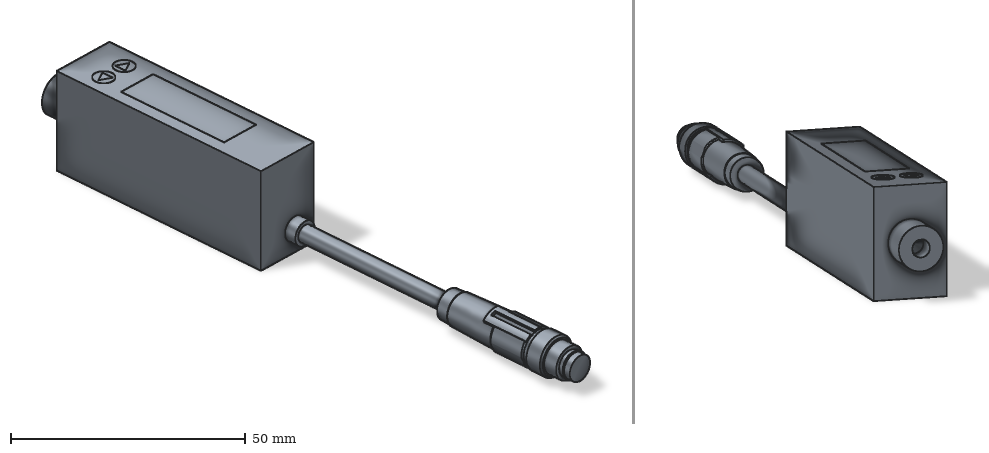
import cadquery as cq
import math


block_length = 60.0
block_width = 16.5
block_height = 25.0
block_top = block_height / 2
nose_length = 7.4
nose_diameter = 10.0
port_diameter = 4.0
port_depth = 4.5
port_tip_angle = 118.0

display_length = 30.2
display_width = 10.0
display_setback = 15.9
button_diameter = 5.0
button_setback = 9.0
button_spacing = 6.4
arrow_width = 3.0
arrow_apex = 1.7
arrow_base = 1.2
mark_depth = 0.08

total_length = 151.2
cable_y = 2.3
cable_z = -6.5
collar_length = 3.0
collar_diameter = 6.0
cable_diameter = 4.2

boot_length = 3.2
barrel_length = 13.2
grip_length = 9.8
neck_length = 1.2
ring_length = 4.4
sleeve_length = 3.5
plug_length = 3.2
connector_length = (
    boot_length + barrel_length + grip_length + neck_length + ring_length + sleeve_length + plug_length
)

boot_start_radius = 3.8
boot_end_radius = 4.0
barrel_start_radius = 4.1
barrel_end_radius = 4.5
grip_radius = 4.8
neck_radius = 4.5
ring_radius = 5.0
sleeve_radius = 4.1
plug_radius = 3.2
bead_radius = 3.5

grip_chamfer = 0.5
ring_chamfer = 0.5
bead_setback = 1.0
bead_length = 0.5
rib_radius = ring_radius
rib_width = 4.8
rib_overhang = 2.7
slot_width = 1.4
slot_depth = 0.8
slot_setback = 0.9
flat_distance = 4.7
connector_roll = 20.0

block_start = nose_length
block_end = block_start + block_length
connector_start = total_length - connector_length
grip_start = connector_start + boot_length + barrel_length
grip_end = grip_start + grip_length


def x_cylinder(start, length, diameter, y=0.0, z=0.0):
    """Cylinder along X, centred on the given Y and Z."""
    return cq.Workplane("YZ", origin=(start, y, z)).circle(diameter / 2).extrude(length)


def make_port():
    """Blind hole in the nose with a drill-point bottom."""
    radius = port_diameter / 2
    tip_length = radius / math.tan(math.radians(port_tip_angle / 2))
    profile = [(0, 0), (0, radius), (port_depth, radius), (port_depth + tip_length, 0)]
    return cq.Workplane("XY").polyline(profile).close().revolve(360, (0, 0, 0), (1, 0, 0))


def make_button_mark(direction):
    """Sunk button disc with an arrow standing in it; direction is +1 for up and -1 for down."""
    center = (block_start + button_setback, direction * button_spacing / 2, block_top)
    plane = cq.Workplane("XY", origin=center)
    disc = plane.circle(button_diameter / 2).extrude(-mark_depth)
    base_y = -direction * arrow_base
    corners = [(-arrow_width / 2, base_y), (arrow_width / 2, base_y), (0, direction * arrow_apex)]
    arrow = plane.polyline(corners).close().extrude(-mark_depth)
    return disc.cut(arrow)


def make_display_recess():
    center_x = block_start + display_setback + display_length / 2
    plane = cq.Workplane("XY", origin=(center_x, 0, block_top))
    return plane.rect(display_length, display_width).extrude(-mark_depth)


def make_sensor():
    """Housing block with nose, cable collar and cable."""
    block = cq.Workplane("XY").box(block_length, block_width, block_height)
    body = block.translate((block_start + block_length / 2, 0, 0))
    body = body.union(x_cylinder(0, nose_length, nose_diameter))
    body = body.union(x_cylinder(block_end, collar_length, collar_diameter, cable_y, cable_z))
    cable_length = connector_start - block_end
    body = body.union(x_cylinder(block_end, cable_length, cable_diameter, cable_y, cable_z))
    body = body.cut(make_port()).cut(make_display_recess())
    for direction in (1, -1):
        body = body.cut(make_button_mark(direction))
    return body


def make_connector_core():
    """Turned shape of the connector, on the X axis."""
    boot_end = connector_start + boot_length
    ring_start = grip_end + neck_length
    ring_end = ring_start + ring_length
    sleeve_end = ring_end + sleeve_length
    bead_start = sleeve_end + bead_setback
    profile = [
        (connector_start, 0),
        (connector_start, boot_start_radius),
        (boot_end, boot_end_radius),
        (boot_end, barrel_start_radius),
        (grip_start, barrel_end_radius),
        (grip_start + grip_chamfer, grip_radius),
        (grip_end - grip_chamfer, grip_radius),
        (grip_end, neck_radius),
        (ring_start, neck_radius),
        (ring_start, ring_radius),
        (ring_end - ring_chamfer, ring_radius),
        (ring_end, ring_radius - ring_chamfer),
        (ring_end, sleeve_radius),
        (sleeve_end, sleeve_radius),
        (sleeve_end, plug_radius),
        (bead_start, plug_radius),
        (bead_start + bead_length, bead_radius),
        (bead_start + bead_length, plug_radius),
        (total_length, plug_radius),
        (total_length, 0),
    ]
    return cq.Workplane("XY").polyline(profile).close().revolve(360, (0, 0, 0), (1, 0, 0))


def make_rib(side):
    """Grip rib above (+1) or below (-1) the connector axis, and the slot to cut along its crest."""
    rib_start = grip_start - rib_overhang
    rib_length = grip_end - rib_start
    rib = x_cylinder(rib_start, rib_length, 2 * rib_radius)
    keep = cq.Workplane("XY", origin=(rib_start, 0, 0)).rect(2 * rib_length, rib_width)
    rib = rib.intersect(keep.extrude(side * rib_radius))
    slot_length = rib_length - slot_setback
    slot_center = (grip_end - slot_length / 2, 0, side * rib_radius)
    slot = cq.Workplane("XY", origin=slot_center).rect(slot_length, slot_width)
    return rib, slot.extrude(-side * slot_depth)


def make_flat_cut(side):
    """Material outside the flat finger panel on the +Y (+1) or -Y (-1) side of the grip."""
    center = ((grip_start + grip_end) / 2, side * flat_distance, 0)
    panel = cq.Workplane("XZ", origin=center).rect(grip_length, 2 * grip_radius)
    return panel.extrude(-side * (grip_radius - flat_distance))


def make_connector():
    """Plug connector with two ribs and two finger flats, rolled about the cable axis."""
    body = make_connector_core()
    for side in (1, -1):
        rib, slot = make_rib(side)
        body = body.cut(make_flat_cut(side)).union(rib).cut(slot)
    body = body.rotate((0, 0, 0), (1, 0, 0), connector_roll)
    return body.translate((0, cable_y, cable_z))


sensor = make_sensor()
connector = make_connector()
result = cq.Compound.makeCompound([sensor.val(), connector.val()])